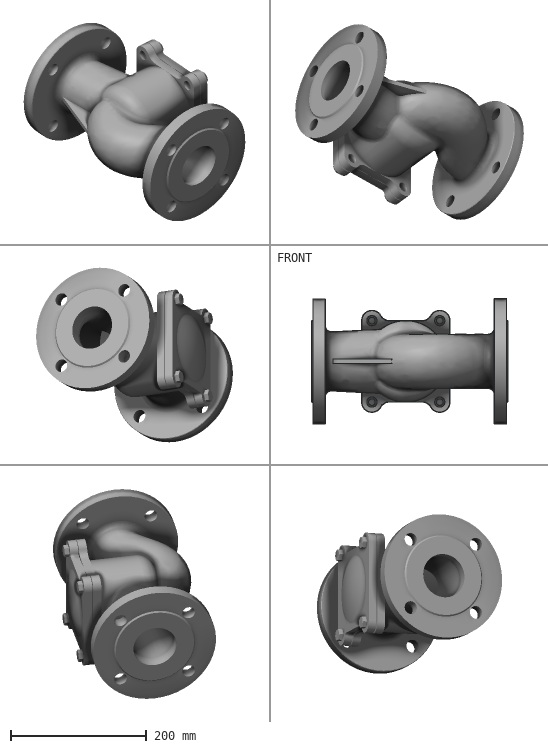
import cadquery as cq
import math


overall_length = 290.0
flange_diameter = 185.0
flange_thickness = 18.5
flange_chamfer = 1.0
raised_face_height = 2.0
raised_face_diameter = 122.0
flange_hole_diameter = 19.0
flange_bolt_circle = 145.0
flange_hole_count = 4
bore_diameter = 65.0

housing_x = -5.8
housing_diameter = 120.0
housing_floor_y = -30.7
housing_floor_fillet = 23.8
plate_underside_y = 64.7
plate_thickness = 12.5
joint_gap = 1.0
dome_base_diameter = 100.0
dome_height = 7.0

bolt_spacing_x = 100.0
bolt_spacing_z = 120.0
lug_radius = 15.0
plate_blend_radius = 15.0
cover_blend_radius = 5.0
lug_hole_diameter = 15.0
bolt_diameter = 10.0
head_across_flats = 16.0
head_height = dome_height
head_chamfer_angle = 30.0

inlet_root_radius = 43.2
inlet_end_radius = 49.3
inlet_bore_end_radius = 24.0
inlet_rise = 16.0

outlet_diameter = 80.0
elbow_radius = 50.0
elbow_low_x = 31.3
elbow_low_y = -50.8

neck_fillet = 8.7
edge_margin = 0.3
blend_zone = 63.8
rib_thickness = 7.0
rib_start = (-121.8, -39.5)
rib_end = (-23.2, -70.2)
rib_buried_y = -23.2

face_x = overall_length / 2
flange_front_x = face_x - raised_face_height
flange_back_x = flange_front_x - flange_thickness
plate_top_y = plate_underside_y + plate_thickness
cover_underside_y = plate_top_y + joint_gap
cover_top_y = cover_underside_y + plate_thickness
bolt_positions = [
    (housing_x + side * bolt_spacing_x / 2, end * bolt_spacing_z / 2)
    for side in (-1, 1)
    for end in (-1, 1)
]


def cylinder_along_y(x, z, radius, y_start, y_end):
    axis_start = cq.Vector(x, y_start, z)
    return cq.Workplane(cq.Solid.makeCylinder(radius, y_end - y_start, axis_start, cq.Vector(0, 1, 0)))


def flange(side):
    """Round flange with its 45-degree raised face; side is -1 at the inlet, +1 at the outlet."""
    outward = cq.Vector(side, 0, 0)
    disc = cq.Workplane(
        cq.Solid.makeCylinder(
            flange_diameter / 2, flange_thickness, cq.Vector(side * flange_back_x, 0, 0), outward
        )
    )
    back_face = "<X" if side > 0 else ">X"
    disc = disc.faces(back_face).edges().chamfer(flange_chamfer)
    raised_face = cq.Workplane(
        cq.Solid.makeCone(
            raised_face_diameter / 2,
            raised_face_diameter / 2 - raised_face_height,
            raised_face_height,
            cq.Vector(side * flange_front_x, 0, 0),
            outward,
        )
    )
    return disc.union(raised_face)


def flange_holes():
    """Bolt holes that run through both flanges, at 45 degrees to the axes."""
    return (
        cq.Workplane("YZ")
        .polarArray(flange_bolt_circle / 2, 45, 360, flange_hole_count)
        .circle(flange_hole_diameter / 2)
        .extrude(flange_thickness)
    )


def inlet_taper(root_radius, end_radius):
    """Tapered passage that rises toward +Y from the inlet flange to the housing axis."""
    return (
        cq.Workplane("YZ", origin=(-flange_back_x, 0, 0))
        .circle(root_radius)
        .workplane(offset=flange_back_x + housing_x)
        .center(inlet_rise, 0)
        .circle(end_radius)
        .loft(ruled=True)
    )


def outlet_path():
    """Flow line from the outlet flange, down through an S, then up into the housing floor."""
    bend_centre_y = elbow_low_y + elbow_radius

    def on_bend(angle_from_low_point):
        angle = math.radians(angle_from_low_point)
        return (
            elbow_low_x + elbow_radius * math.sin(angle),
            bend_centre_y - elbow_radius * math.cos(angle),
        )

    start = (flange_back_x, 0)
    crossover = ((flange_back_x + elbow_low_x) / 2, elbow_low_y / 2)
    points = [start, crossover, on_bend(30), on_bend(0), on_bend(-45), on_bend(-90)]
    return cq.Workplane("XY").spline(points, tangents=[(-1, 0), (0, 1)])


def outlet_elbow(diameter):
    profile = cq.Workplane("YZ", origin=(flange_back_x, 0, 0)).circle(diameter / 2)
    return profile.sweep(outlet_path())


def housing_barrel():
    barrel = cylinder_along_y(
        housing_x, 0, housing_diameter / 2, housing_floor_y, plate_underside_y
    )
    return barrel.faces("<Y").edges().fillet(housing_floor_fillet)


def select_in_box(solid, low, high):
    """Edges that lie entirely inside the box between two opposite corners."""
    return solid.edges(cq.selectors.BoxSelector(low, high, boundingbox=True))


def blended_castings():
    """Barrel, inlet, elbow and flanges as one shape, with the meeting lines filleted."""
    shape = housing_barrel().union(inlet_taper(inlet_root_radius, inlet_end_radius))
    shape = shape.union(outlet_elbow(outlet_diameter))
    crossing_edges = shape.edges("%BSPLINE").edges(
        cq.selectors.BoxSelector(
            (-blend_zone, -blend_zone, -blend_zone), (blend_zone, blend_zone, blend_zone)
        )
    )
    shape = crossing_edges.fillet(neck_fillet)
    for side in (-1, 1):
        shape = shape.union(flange(side))
        x = side * flange_back_x
        reach = inlet_end_radius
        root = select_in_box(
            shape, (x - edge_margin, -reach, -reach), (x + edge_margin, reach, reach)
        )
        shape = root.fillet(neck_fillet)
    return shape


def rib():
    """Web below the inlet; its inner corner is buried in the inlet and the elbow."""
    return (
        cq.Workplane("XY", origin=(0, 0, -rib_thickness / 2))
        .polyline([rib_start, rib_end, (rib_end[0], rib_buried_y), (rib_start[0], rib_buried_y)])
        .close()
        .extrude(rib_thickness)
    )


def lug_plate(y, blend_radius):
    """Four-lug plate; each lug runs into the straight waist through a concave blend."""
    lug_x = bolt_spacing_x / 2
    lug_z = bolt_spacing_z / 2
    blend_offset = math.sqrt(lug_radius**2 + 2 * lug_radius * blend_radius)
    blend_x = lug_x - blend_offset
    share = lug_radius / (lug_radius + blend_radius)
    touch_x = lug_x - blend_offset * share
    touch_z = lug_z + blend_radius * share
    blend_angle = (math.atan2(touch_z - lug_z - blend_radius, touch_x - blend_x) - math.pi / 2) / 2
    blend_middle = (
        blend_x + blend_radius * math.cos(blend_angle),
        lug_z + blend_radius + blend_radius * math.sin(blend_angle),
    )
    quarter = (
        cq.Workplane("XZ", origin=(housing_x, y, 0))
        .moveTo(0, 0)
        .lineTo(lug_x + lug_radius, 0)
        .lineTo(lug_x + lug_radius, lug_z)
        .threePointArc((lug_x, lug_z + lug_radius), (touch_x, touch_z))
        .threePointArc(blend_middle, (blend_x, lug_z))
        .lineTo(0, lug_z)
        .close()
        .extrude(-plate_thickness)
    )
    half = quarter.union(quarter.mirror("XY"))
    return half.union(half.mirror("YZ", (housing_x, 0, 0)))


def cover_dome():
    """Shallow spherical cap on the cover."""
    rim = dome_base_diameter / 2
    sphere_radius = (rim**2 + dome_height**2) / (2 * dome_height)
    rim_angle = math.asin(rim / sphere_radius) / 2
    middle = (
        sphere_radius * math.sin(rim_angle),
        dome_height - sphere_radius * (1 - math.cos(rim_angle)),
    )
    return (
        cq.Workplane("XY", origin=(housing_x, cover_top_y, 0))
        .lineTo(rim, 0)
        .threePointArc(middle, (0, dome_height))
        .close()
        .revolve(360, (0, 0, 0), (0, 1, 0))
    )


def valve_body():
    body = blended_castings().union(rib())
    body = body.union(lug_plate(plate_underside_y, plate_blend_radius))
    joint_disc = cylinder_along_y(housing_x, 0, housing_diameter / 2, plate_top_y, cover_underside_y)
    cover = lug_plate(cover_underside_y, cover_blend_radius).union(cover_dome())
    body = body.union(joint_disc).union(cover)

    barrel = cylinder_along_y(
        housing_x, 0, housing_diameter / 2, housing_floor_y, plate_underside_y
    )
    passages = inlet_taper(bore_diameter / 2, inlet_bore_end_radius)
    passages = passages.union(outlet_elbow(bore_diameter)).cut(barrel)
    body = body.cut(passages)
    for side in (-1, 1):
        body = body.cut(
            cq.Workplane("YZ", origin=(side * face_x, 0, 0))
            .circle(bore_diameter / 2)
            .extrude(-side * (face_x - flange_back_x))
        )
        inner_x = min(side * flange_back_x, side * flange_front_x)
        body = body.cut(flange_holes().translate((inner_x, 0, 0)))

    for x, z in bolt_positions:
        body = body.cut(cylinder_along_y(x, z, lug_hole_diameter / 2, plate_underside_y, plate_top_y))
        body = body.cut(cylinder_along_y(x, z, bolt_diameter / 2, cover_underside_y, cover_top_y))
    return body


def cover_bolt(x, z):
    """Hex bolt seated on the cover, its shank ending level with the cover underside."""
    shank = cylinder_along_y(x, z, bolt_diameter / 2, cover_underside_y, cover_top_y)
    head = (
        cq.Workplane("XZ", origin=(x, cover_top_y, z))
        .polygon(6, head_across_flats / math.cos(math.pi / 6))
        .extrude(-head_height)
    )
    slope = math.tan(math.radians(head_chamfer_angle))
    cone_base_radius = head_across_flats / 2 + head_height / slope
    corner_cone = cq.Workplane(
        cq.Solid.makeCone(
            cone_base_radius,
            head_across_flats / 2,
            head_height,
            cq.Vector(x, cover_top_y, z),
            cq.Vector(0, 1, 0),
        )
    )
    return shank.union(head.intersect(corner_cone))


body = valve_body()
bolts = [cover_bolt(x, z) for x, z in bolt_positions]
result = cq.Compound.makeCompound([body.val(), *[bolt.val() for bolt in bolts]])